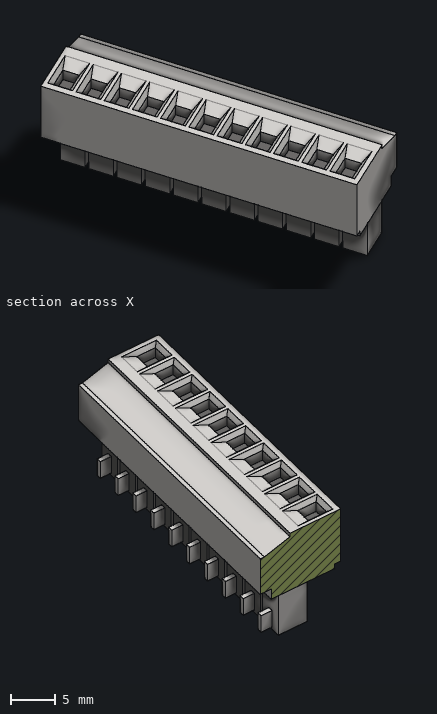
import cadquery as cq

LENGTH = 39.3
DEPTH = 11.2
HEIGHT = 15.48
HOUSING_BOTTOM = 6.6
FRONT_STEP_DEPTH = 0.83
FRONT_STEP_Z = 7.3
REAR_STEP_Y = 9.65
REAR_STEP_Z = 8.17
REAR_LEDGE_DEPTH = 0.55
REAR_LEDGE_Z = 13.7
RIDGE_BACK_Y = 7.07
SLOPE_TOP_Z = 14.93

POLES = 11
POLE_WIDTH = 3.05
LEFT_MARGIN = 0.55
RIGHT_MARGIN = 0.63
PITCH = (LENGTH - LEFT_MARGIN - RIGHT_MARGIN - POLE_WIDTH) / (POLES - 1)

MOUTH_FRONT_Y = 0.8
MOUTH_BACK_Y = 5.6
MOUTH_INSET = 0.5
MOUTH_BACK_INSET = 1.75
MOUTH_DEPTH = MOUTH_INSET
WELL_FRONT_Y = MOUTH_FRONT_Y + MOUTH_INSET
WELL_BACK_Y = MOUTH_BACK_Y - MOUTH_BACK_INSET
WELL_DEPTH = 2.0

LEG_FRONT_Y = 4.32
LEG_BACK_Y = 8.35
KEY_WIDTH = 0.63
KEY_BACK_Y = 9.9
KEY_BOTTOM = 0.35
KEY_TOP = 2.95


def box(x_range, y_range, z_range):
    """Axis-aligned block given by its (low, high) limits on each axis."""
    sizes = [high - low for low, high in (x_range, y_range, z_range)]
    corner = (x_range[0], y_range[0], z_range[0])
    return cq.Workplane("XY").box(*sizes, centered=False).translate(corner)


def housing():
    """Stepped side profile extruded along the full length."""
    profile = [
        (FRONT_STEP_DEPTH, HOUSING_BOTTOM),
        (REAR_STEP_Y, HOUSING_BOTTOM),
        (REAR_STEP_Y, REAR_STEP_Z),
        (DEPTH, REAR_STEP_Z),
        (DEPTH, REAR_LEDGE_Z),
        (DEPTH - REAR_LEDGE_DEPTH, REAR_LEDGE_Z),
        (RIDGE_BACK_Y, SLOPE_TOP_Z),
        (RIDGE_BACK_Y, HEIGHT),
        (0, HEIGHT),
        (0, FRONT_STEP_Z),
        (FRONT_STEP_DEPTH, FRONT_STEP_Z),
    ]
    return cq.Workplane("YZ").polyline(profile).close().extrude(LENGTH)


def funnel(left):
    """Cutter for one wire entry: a mouth narrowing onto a straight well."""
    right = left + POLE_WIDTH
    well_x = (left + MOUTH_INSET, right - MOUTH_INSET)
    well_y = (WELL_FRONT_Y, WELL_BACK_Y)
    mouth_centre = ((left + right) / 2, (MOUTH_FRONT_Y + MOUTH_BACK_Y) / 2)
    well_shift = (WELL_FRONT_Y + WELL_BACK_Y) / 2 - mouth_centre[1]
    mouth = (
        cq.Workplane("XY", origin=(*mouth_centre, HEIGHT))
        .rect(POLE_WIDTH, MOUTH_BACK_Y - MOUTH_FRONT_Y)
        .workplane(offset=-MOUTH_DEPTH)
        .center(0, well_shift)
        .rect(well_x[1] - well_x[0], well_y[1] - well_y[0])
        .loft(ruled=True)
    )
    return mouth.union(box(well_x, well_y, (HEIGHT - WELL_DEPTH, HEIGHT - MOUTH_DEPTH)))


def leg(left):
    """One leg reaching down from the housing, with its rear key centred on it."""
    key_left = left + (POLE_WIDTH - KEY_WIDTH) / 2
    post = box((left, left + POLE_WIDTH), (LEG_FRONT_Y, LEG_BACK_Y), (0, HOUSING_BOTTOM))
    key = box((key_left, key_left + KEY_WIDTH), (LEG_BACK_Y, KEY_BACK_Y), (KEY_BOTTOM, KEY_TOP))
    return post.union(key)


result = housing()
for pole in range(POLES):
    pole_left = LEFT_MARGIN + pole * PITCH
    result = result.cut(funnel(pole_left)).union(leg(pole_left))